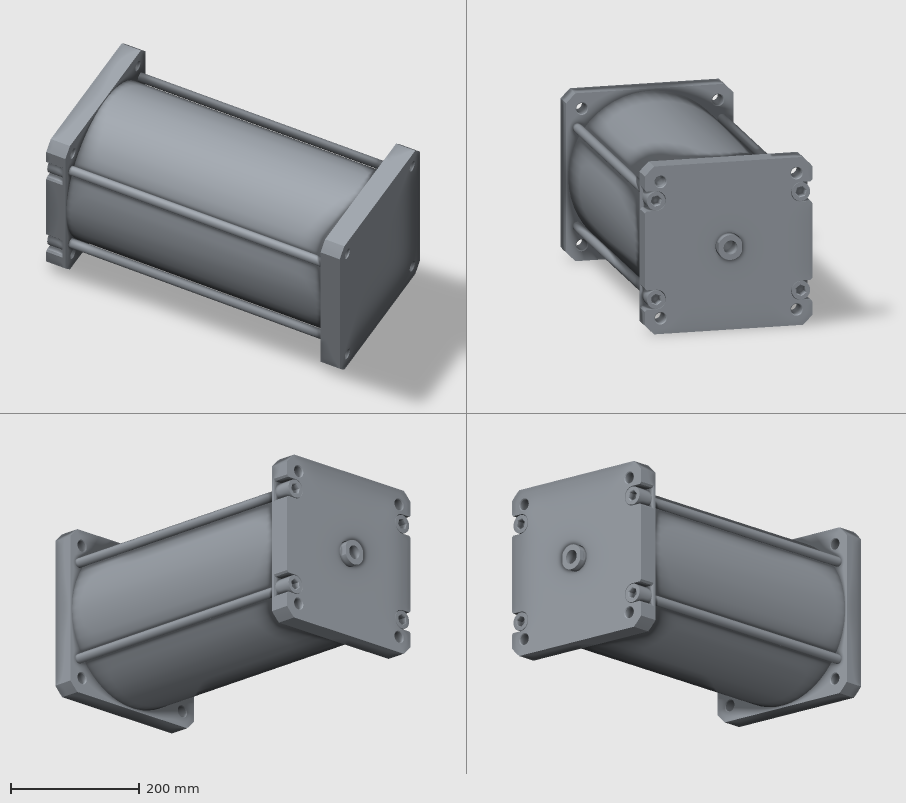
import cadquery as cq
import math


total_length = 528.0
plate_side = 270.0
plate_thickness = 34.0
plate_corner_diameter = 360.5
rod_projection = 12.0
barrel_diameter = 263.0
barrel_length = total_length - rod_projection - 2 * plate_thickness
rear_plate_x = plate_thickness + barrel_length

mount_hole_diameter = 17.5
mount_hole_mouth_diameter = 20.0
mount_hole_inset = 25.5
mount_hole_chamfer_angle = 90.0
mount_hole_offset = plate_side / 2 - mount_hole_inset

screw_offset_y = 116.5
screw_offset_z = 79.0
shank_diameter = 15.5
head_diameter = 29.5
head_length = 29.0
socket_sides = 6
socket_corner_diameter = 16.5
socket_chamfer = 1.0
socket_chamfer_angle = 45.0
socket_depth = 13.0
upper_socket_turn = -13.0
lower_socket_turn = 23.0
rear_engagement = head_length
shank_end_x = rear_plate_x + rear_engagement

pocket_radius = 16.0
mouth_flare_depth = 2.5
mouth_flare_height = 3.0

rod_diameter = 40.0
rod_hole_diameter = 42.0
rod_flat_width = 37.0
rod_flat_length = 10.0
bore_diameter = 22.0
bore_depth = 31.5
bore_tip_angle = 118.0

screw_places = [(y, z) for y in (-screw_offset_y, screw_offset_y) for z in (-screw_offset_z, screw_offset_z)]


def at_x(x):
    """Workplane facing +X whose local axes are the global Y and Z."""
    return cq.Workplane("YZ", origin=(x, 0, 0))


def make_plate(x):
    """Square plate with corners turned to a circle and four mounting holes chamfered on the -X face."""
    corner_round = at_x(x).circle(plate_corner_diameter / 2).extrude(plate_thickness)
    return (
        at_x(x)
        .rect(plate_side, plate_side)
        .extrude(plate_thickness)
        .intersect(corner_round)
        .faces("<X")
        .workplane(origin=(x, 0, 0))
        .rect(2 * mount_hole_offset, 2 * mount_hole_offset, forConstruction=True)
        .vertices()
        .cskHole(mount_hole_diameter, mount_hole_mouth_diameter, mount_hole_chamfer_angle)
    )


def make_head_pocket(y, z):
    """Cutter for one head pocket: a round-ended slot that flares where it opens on the plate's side."""
    side = math.copysign(1, y)
    edge_y = side * plate_side / 2
    throat_y = edge_y - side * mouth_flare_depth
    mouth_half_height = pocket_radius + mouth_flare_height
    return (
        at_x(0)
        .moveTo(y, z + pocket_radius)
        .lineTo(throat_y, z + pocket_radius)
        .lineTo(edge_y, z + mouth_half_height)
        .lineTo(edge_y, z - mouth_half_height)
        .lineTo(throat_y, z - pocket_radius)
        .lineTo(y, z - pocket_radius)
        .threePointArc((y - side * pocket_radius, z), (y, z + pocket_radius))
        .close()
        .extrude(head_length)
    )


def make_front_plate():
    """Front plate with head pockets, shank holes and the piston rod's clearance hole."""
    plate = make_plate(0)
    for y, z in screw_places:
        plate = plate.cut(make_head_pocket(y, z))
    shank_holes = at_x(0).pushPoints(screw_places).circle(shank_diameter / 2).extrude(plate_thickness)
    rod_hole = at_x(0).circle(rod_hole_diameter / 2).extrude(plate_thickness)
    return plate.cut(shank_holes).cut(rod_hole)


def make_rear_plate():
    """Rear plate with blind holes for the shank ends."""
    shank_holes = (
        at_x(rear_plate_x).pushPoints(screw_places).circle(shank_diameter / 2).extrude(rear_engagement)
    )
    return make_plate(rear_plate_x).cut(shank_holes)


def make_barrel():
    """Plain round body clamped between the two plates."""
    return at_x(plate_thickness).circle(barrel_diameter / 2).extrude(barrel_length)


def make_piston_rod():
    """Rod end with two wrench flats and a drilled bore that ends in a cone."""
    rod = at_x(-rod_projection).circle(rod_diameter / 2).extrude(rod_projection + plate_thickness)
    flat_zone = at_x(-rod_projection).rect(2 * rod_diameter, 2 * rod_diameter).extrude(rod_flat_length)
    between_flats = at_x(-rod_projection).rect(rod_flat_width, 2 * rod_diameter).extrude(rod_flat_length)
    bore_radius = bore_diameter / 2
    tip_length = bore_radius / math.tan(math.radians(bore_tip_angle / 2))
    bore_end_x = bore_depth - rod_projection
    bore = (
        cq.Workplane("XY")
        .moveTo(-rod_projection, 0)
        .lineTo(-rod_projection, bore_radius)
        .lineTo(bore_end_x, bore_radius)
        .lineTo(bore_end_x + tip_length, 0)
        .close()
        .revolve(360, (0, 0, 0), (1, 0, 0))
    )
    return rod.cut(flat_zone.cut(between_flats)).cut(bore)


def make_tie_screw(y, z):
    """Tie screw whose head is flush with the front plate and has a hex socket chamfered at its mouth."""
    head = at_x(0).circle(head_diameter / 2).extrude(head_length)
    shank = at_x(head_length).circle(shank_diameter / 2).extrude(shank_end_x - head_length)
    socket_turn = upper_socket_turn if z > 0 else lower_socket_turn
    mouth_diameter = socket_corner_diameter + 2 * socket_chamfer / math.cos(math.pi / socket_sides)
    mouth = at_x(0).polygon(socket_sides, mouth_diameter).extrude(socket_chamfer, taper=socket_chamfer_angle)
    socket = (
        at_x(0)
        .polygon(socket_sides, socket_corner_diameter)
        .extrude(socket_depth)
        .union(mouth)
        .rotate((0, 0, 0), (1, 0, 0), socket_turn)
    )
    return head.union(shank).cut(socket).translate((0, y, z))


front_plate = make_front_plate()
rear_plate = make_rear_plate()
barrel = make_barrel()
piston_rod = make_piston_rod()
tie_screws = [make_tie_screw(y, z) for y, z in screw_places]

result = cq.Compound.makeCompound(
    [
        front_plate.val(),
        rear_plate.val(),
        barrel.val(),
        piston_rod.val(),
        *[screw.val() for screw in tie_screws],
    ]
)